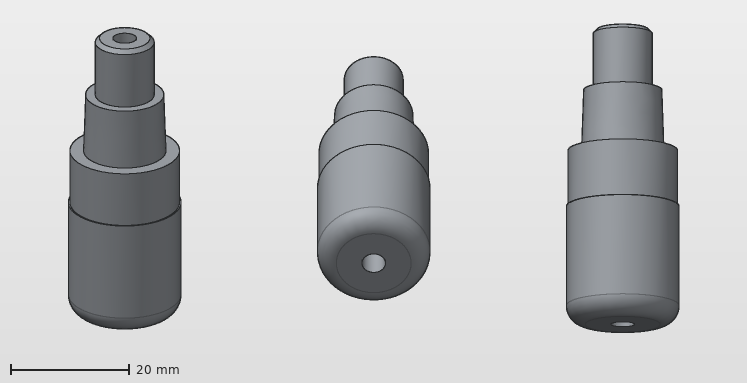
import cadquery as cq

total_length = 51.0
cap_top = 20.4
collar_top = 30.05
taper_top = 40.5

cap_diameter = 19.05
collar_diameter = 18.55
taper_base_diameter = 13.95
taper_tip_diameter = 13.25
spigot_diameter = 10.0
bore_diameter = 4.0

cap_bottom_fillet = 3.2
spigot_chamfer_height = 0.7
spigot_tip_diameter = 8.5


def make_cap():
    """Lower sleeve with a rounded bottom edge and a through bore."""
    cap = cq.Workplane("XY").circle(cap_diameter / 2).extrude(cap_top)
    cap = cap.faces("<Z").edges().fillet(cap_bottom_fillet)
    return cap.faces(">Z").workplane().hole(bore_diameter)


def make_stem():
    """Collar, tapered shank and chamfered spigot, revolved around the bore."""
    bore_radius = bore_diameter / 2
    spigot_radius = spigot_diameter / 2
    profile = [
        (bore_radius, cap_top),
        (collar_diameter / 2, cap_top),
        (collar_diameter / 2, collar_top),
        (taper_base_diameter / 2, collar_top),
        (taper_tip_diameter / 2, taper_top),
        (spigot_radius, taper_top),
        (spigot_radius, total_length - spigot_chamfer_height),
        (spigot_tip_diameter / 2, total_length),
        (bore_radius, total_length),
    ]
    return cq.Workplane("XZ").polyline(profile).close().revolve(360, (0, 0), (0, 1))


cap = make_cap()
stem = make_stem()

result = cq.Compound.makeCompound([cap.val(), stem.val()])